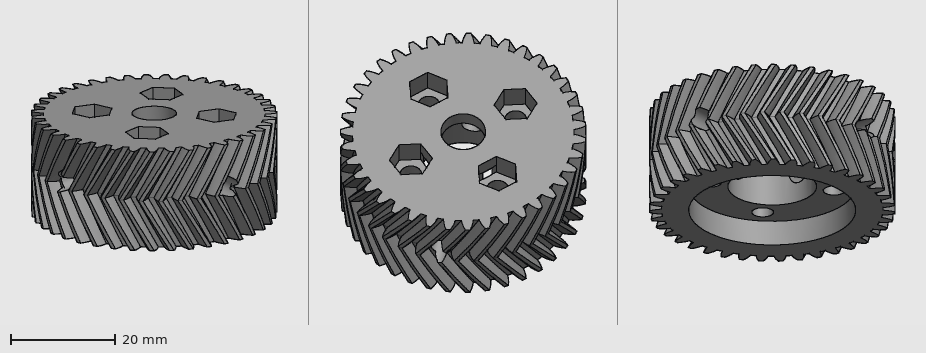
import cadquery as cq
import math

outer_diameter = 47.05
width = 20.0
tooth_count = 39
pressure_angle = math.radians(20)
helix_twist = 14.6

module = outer_diameter / (tooth_count + 2)
pitch_radius = module * tooth_count / 2
tip_radius = pitch_radius + module
root_radius = pitch_radius - module
base_radius = pitch_radius * math.cos(pressure_angle)
tooth_pitch = 2 * math.pi / tooth_count
top_tooth_angle = math.pi / 2

bore_diameter = 8.5
hub_recess_diameter = 17.0
rim_recess_diameter = 32.0
top_web = 3.0
rim_recess_depth = 5.0

bolt_circle_diameter = 24.0
bolt_directions = (45, 135, 225, 315)
bolt_diameter = 4.2
nut_corner_diameter = 8.25
nut_trap_depth = 5.0
nut_turn = 30

cross_hole_diameter = 4.0
cross_hole_height = 1.0

top = width / 2


def polar(radius, angle):
    return (radius * math.cos(angle), radius * math.sin(angle))


def involute(radius):
    """Polar angle of the involute at a radius, from its start on the base circle."""
    slope_angle = math.acos(base_radius / radius)
    return math.tan(slope_angle) - slope_angle


def half_tooth(radius):
    """Half the angle that a tooth fills at a radius."""
    return tooth_pitch / 4 + involute(pitch_radius) - involute(radius)


def gear_profile(first_tooth_angle):
    """Closed outline of all teeth, drawn counterclockwise."""
    root_half = half_tooth(root_radius)
    pitch_half = half_tooth(pitch_radius)
    tip_half = half_tooth(tip_radius)
    profile = cq.Workplane("XY").moveTo(*polar(root_radius, first_tooth_angle - root_half))
    for tooth in range(tooth_count):
        centre = first_tooth_angle + tooth * tooth_pitch
        next_root = centre + tooth_pitch - root_half
        profile = (
            profile
            .threePointArc(polar(pitch_radius, centre - pitch_half), polar(tip_radius, centre - tip_half))
            .threePointArc(polar(tip_radius, centre), polar(tip_radius, centre + tip_half))
            .threePointArc(polar(pitch_radius, centre + pitch_half), polar(root_radius, centre + root_half))
            .threePointArc(polar(root_radius, centre + tooth_pitch / 2), polar(root_radius, next_root))
        )
    return profile.close()


def herringbone_blank():
    """Two mirrored helical halves that meet at the XY plane."""
    middle_tooth_angle = top_tooth_angle - math.radians(helix_twist)
    upper_half = gear_profile(middle_tooth_angle).twistExtrude(width / 2, helix_twist)
    return upper_half.union(upper_half.mirror("XY"))


def vertical_cylinder(diameter, upper, lower):
    """Cylinder on the Z axis between two heights."""
    return cq.Workplane("XY").workplane(offset=lower).circle(diameter / 2).extrude(upper - lower)


def bolt_cutter(direction):
    """Bolt hole with a nut trap in the top face, one flat facing the gear axis."""
    radius = bolt_circle_diameter / 2
    trap = (
        cq.Workplane("XY").workplane(offset=top - nut_trap_depth)
        .polygon(6, nut_corner_diameter).extrude(nut_trap_depth)
        .rotate((0, 0, 0), (0, 0, 1), nut_turn)
    )
    cutter = vertical_cylinder(bolt_diameter, top, -top).union(trap)
    return cutter.translate((radius, 0, 0)).rotate((0, 0, 0), (0, 0, 1), direction)


def cross_hole(plane):
    """Straight hole across the whole gear, along the normal of a plane."""
    return (
        cq.Workplane(plane).center(0, cross_hole_height)
        .circle(cross_hole_diameter / 2).extrude(outer_diameter, both=True)
    )


result = herringbone_blank()
result = result.cut(vertical_cylinder(bore_diameter, top, -top))
result = result.cut(vertical_cylinder(hub_recess_diameter, top - top_web, -top))
result = result.cut(vertical_cylinder(rim_recess_diameter, rim_recess_depth - top, -top))
for direction in bolt_directions:
    result = result.cut(bolt_cutter(direction))
for plane in ("XZ", "YZ"):
    result = result.cut(cross_hole(plane))